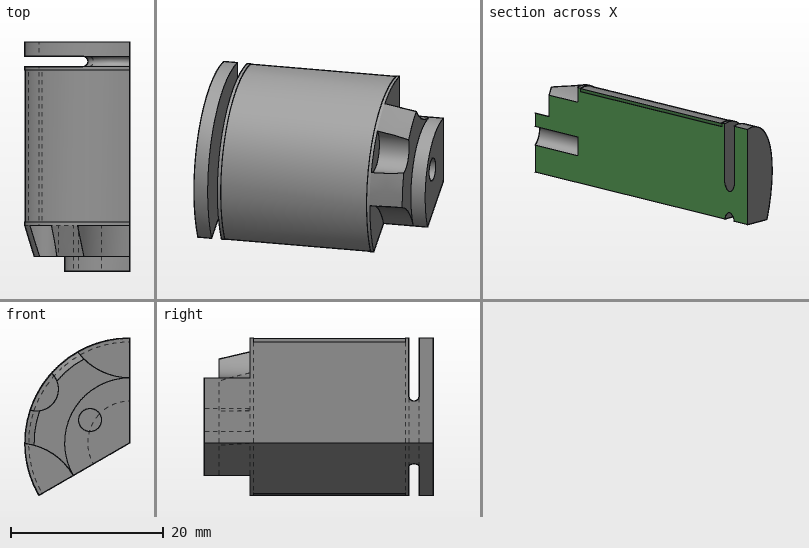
import cadquery as cq
import math

sector_angle = 120
sector_start = 90
mid_angle = math.radians(sector_start + sector_angle / 2)

total_length = 30
boss_length = 1.95
nose_back = 6
rim_width = 0.45
barrel_back = 26.8
disc_front = 28.1

outer_radius = 13.75
sleeve_outer_radius = 13.68
sleeve_thickness = 0.45
sleeve_inner_radius = sleeve_outer_radius - sleeve_thickness
nose_front_radius = 12.5
boss_radius = 8.52
neck_radius = 5.5

edge_flute_radius = 8.55
middle_flute_radius = 2.88
middle_flute_distance = 14.1
hole_diameter = 3
hole_distance = 6
hole_depth = 6

sleeve_front = nose_back + rim_width
sleeve_back = barrel_back - rim_width


def revolve_sector(profile):
    """Revolve a (radius, y) profile, lying along +X, into the sector from +Z past -X."""
    solid = profile.close().revolve(sector_angle, (0, 0, 0), (0, -1, 0))
    return solid.rotate((0, 0, 0), (0, 1, 0), -sector_start)


def rod(distance, angle, radius, start, length):
    """Round rod parallel to the axis, starting at y = start and running toward +Y."""
    base = cq.Vector(distance * math.cos(angle), start, distance * math.sin(angle))
    return cq.Workplane(cq.Solid.makeCylinder(radius, length, base, cq.Vector(0, 1, 0)))


def make_core():
    groove_width = disc_front - barrel_back
    groove_radius = groove_width / 2
    groove_centre = neck_radius + groove_radius
    profile = (
        cq.Workplane("XY")
        .moveTo(0, 0)
        .lineTo(boss_radius, 0)
        .lineTo(boss_radius, boss_length)
        .lineTo(nose_front_radius, boss_length)
        .lineTo(outer_radius, nose_back)
        .lineTo(outer_radius, sleeve_front)
        .lineTo(sleeve_inner_radius, sleeve_front)
        .lineTo(sleeve_inner_radius, sleeve_back)
        .lineTo(outer_radius, sleeve_back)
        .lineTo(outer_radius, barrel_back)
        .lineTo(groove_centre, barrel_back)
        .threePointArc((neck_radius, barrel_back + groove_radius), (groove_centre, disc_front))
        .lineTo(outer_radius, disc_front)
        .lineTo(outer_radius, total_length)
        .lineTo(0, total_length)
    )
    core = revolve_sector(profile)

    flute_length = nose_back - boss_length
    for side_angle in (sector_start, sector_start + sector_angle):
        distance = boss_radius + edge_flute_radius
        angle = math.radians(side_angle)
        core = core.cut(rod(distance, angle, edge_flute_radius, boss_length, flute_length))

    core = core.cut(rod(middle_flute_distance, mid_angle, middle_flute_radius, boss_length, flute_length))

    return core.cut(rod(hole_distance, mid_angle, hole_diameter / 2, 0, hole_depth))


def make_sleeve():
    """Thin sleeve seated slightly below and between the two rims of the barrel."""
    profile = (
        cq.Workplane("XY")
        .moveTo(sleeve_inner_radius, sleeve_front)
        .lineTo(sleeve_outer_radius, sleeve_front)
        .lineTo(sleeve_outer_radius, sleeve_back)
        .lineTo(sleeve_inner_radius, sleeve_back)
    )
    return revolve_sector(profile)


core = make_core()
sleeve = make_sleeve()
result = cq.Compound.makeCompound([core.val(), sleeve.val()])